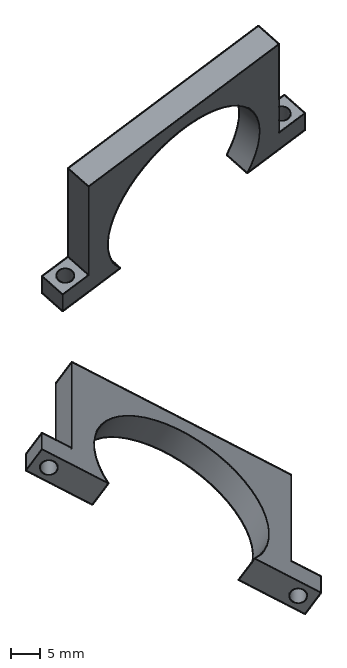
import cadquery as cq

thickness = 5.2
length = 56.0
height = 31.0

block_length = 44.0
foot_height = 5.0
foot_length = (length - block_length) / 2
screw_hole_diameter = 3.0
screw_hole_offset = (length - foot_length) / 2

opening_diameter = 35.05
top_wall = 3.85
opening_center_z = height - top_wall - opening_diameter / 2


def make_base_bar():
    """Bar along Y whose ends form the two feet."""
    return cq.Workplane("XY").box(thickness, length, foot_height, centered=(True, True, False))


def make_block():
    """Upright block between the feet."""
    return cq.Workplane("XY").box(thickness, block_length, height, centered=(True, True, False))


def make_opening():
    """Cylinder along X that forms the clamp opening."""
    return (
        cq.Workplane("YZ")
        .center(0, opening_center_z)
        .circle(opening_diameter / 2)
        .extrude(thickness / 2, both=True)
    )


def make_screw_holes():
    """Vertical through holes, one centered in each foot."""
    return (
        cq.Workplane("XY")
        .pushPoints([(0, side * screw_hole_offset) for side in (-1, 1)])
        .circle(screw_hole_diameter / 2)
        .extrude(foot_height)
    )


bracket = make_base_bar().union(make_block())
result = bracket.cut(make_opening()).cut(make_screw_holes())